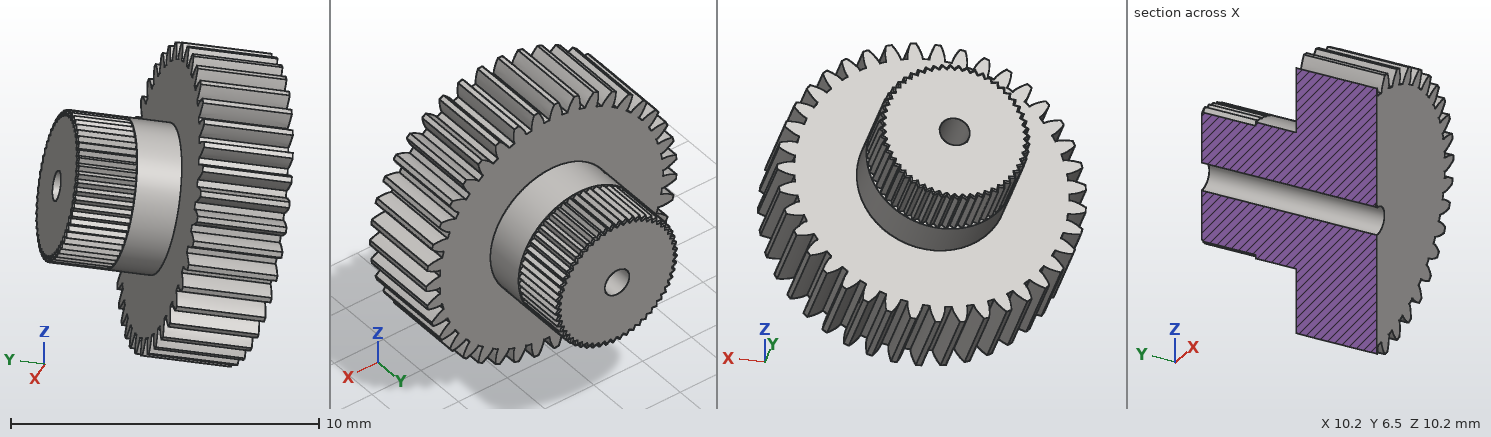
import cadquery as cq
import math

TOOTH_COUNT = 39
MODULE = 0.25
PRESSURE_ANGLE = math.radians(20)
DEDENDUM_FACTOR = 1.25
GEAR_WIDTH = 3.0
BORE_DIAMETER = 1.0

PITCH_RADIUS = MODULE * TOOTH_COUNT / 2
TIP_RADIUS = PITCH_RADIUS + MODULE
ROOT_RADIUS = PITCH_RADIUS - DEDENDUM_FACTOR * MODULE
BASE_RADIUS = PITCH_RADIUS * math.cos(PRESSURE_ANGLE)
FLANK_SPANS = 4

HUB_RADIUS = 2.5
COLLAR_LENGTH = 1.5
KNURL_LENGTH = 2.0
KNURL_COUNT = 56
KNURL_PITCH = 2 * math.pi / KNURL_COUNT
KNURL_DEPTH = HUB_RADIUS * KNURL_PITCH / 2
KNURL_CHAMFER = 0.05

COLLAR_START = GEAR_WIDTH
KNURL_START = COLLAR_START + COLLAR_LENGTH
TOTAL_LENGTH = KNURL_START + KNURL_LENGTH


def section_plane(y):
    """Plane across the axis at y; local x is X, local y is Z, and the normal is -Y."""
    return cq.Workplane("XZ", origin=(0, y, 0))


def polar(radius, angle):
    return (radius * math.cos(angle), radius * math.sin(angle))


def involute(angle):
    return math.tan(angle) - angle


def tooth_half_angle(radius):
    """Half of the angle that a tooth covers at the given radius."""
    pressure_angle = math.acos(BASE_RADIUS / radius)
    return math.pi / (2 * TOOTH_COUNT) + involute(PRESSURE_ANGLE) - involute(pressure_angle)


def flank_points(center_angle, side):
    """Involute points from the base circle to the tip, on side -1 or +1 of the tooth."""
    radial_step = (TIP_RADIUS - BASE_RADIUS) / FLANK_SPANS
    radii = [BASE_RADIUS + i * radial_step for i in range(FLANK_SPANS + 1)]
    return [polar(radius, center_angle + side * tooth_half_angle(radius)) for radius in radii]


def make_gear():
    tooth_pitch = 2 * math.pi / TOOTH_COUNT
    root_half_angle = tooth_half_angle(BASE_RADIUS)
    outline = section_plane(GEAR_WIDTH).moveTo(*polar(ROOT_RADIUS, -root_half_angle))
    for tooth in range(TOOTH_COUNT):
        center = tooth * tooth_pitch
        rising = flank_points(center, -1)
        falling = flank_points(center, 1)[::-1]
        next_root = polar(ROOT_RADIUS, center + tooth_pitch - root_half_angle)
        outline = outline.lineTo(*rising[0])
        outline = outline.spline(rising[1:], includeCurrent=True)
        outline = outline.threePointArc(polar(TIP_RADIUS, center), falling[0])
        outline = outline.spline(falling[1:], includeCurrent=True)
        outline = outline.lineTo(*polar(ROOT_RADIUS, center + root_half_angle))
        outline = outline.threePointArc(polar(ROOT_RADIUS, center + tooth_pitch / 2), next_root)
    return outline.close().extrude(GEAR_WIDTH)


def make_collar():
    return section_plane(KNURL_START).circle(HUB_RADIUS).extrude(COLLAR_LENGTH)


def make_knurl():
    points = []
    for groove in range(KNURL_COUNT):
        center = groove * KNURL_PITCH
        points.append(polar(HUB_RADIUS - KNURL_DEPTH, center))
        points.append(polar(HUB_RADIUS, center + KNURL_PITCH / 2))
    knurl = section_plane(TOTAL_LENGTH).polyline(points).close().extrude(KNURL_LENGTH)
    return knurl.faces(">Y").edges().chamfer(KNURL_CHAMFER)


def make_bore():
    return section_plane(TOTAL_LENGTH).circle(BORE_DIAMETER / 2).extrude(TOTAL_LENGTH)


result = make_gear().union(make_collar()).union(make_knurl()).cut(make_bore())